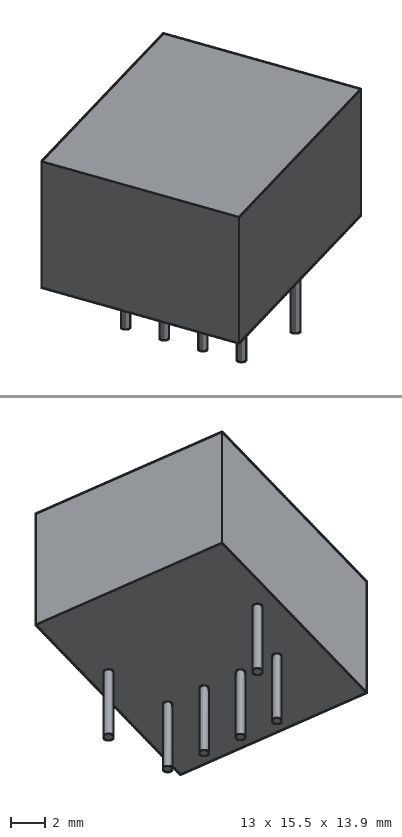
import cadquery as cq

HOUSING_WIDTH = 13.0
HOUSING_LENGTH = 15.5
OVERALL_HEIGHT = 13.9
PIN_LENGTH = 5.1
HOUSING_HEIGHT = OVERALL_HEIGHT - PIN_LENGTH

THIN_PIN_DIAMETER = 0.56
THIN_PIN_COUNT = 4
THIN_PIN_PITCH = 2.54
THIN_ROW_Y = -2.25

THICK_PIN_DIAMETER = 0.6
THICK_PIN_COUNT = 2
THICK_PIN_SPACING = 10.38
THICK_ROW_Y = 1.95


def make_housing():
    """Plain rectangular block with its underside at Z = 0."""
    return cq.Workplane("XY").box(
        HOUSING_WIDTH, HOUSING_LENGTH, HOUSING_HEIGHT, centered=(True, True, False)
    )


def make_pin(x, y, diameter):
    """Round pin hanging from the underside of the housing."""
    return cq.Workplane("XY").center(x, y).circle(diameter / 2).extrude(-PIN_LENGTH)


def make_pin_row(count, spacing, y, diameter):
    """Separate pins along X, evenly spaced and centred on X = 0."""
    first_x = -spacing * (count - 1) / 2
    return [make_pin(first_x + i * spacing, y, diameter) for i in range(count)]


housing = make_housing()
thin_pins = make_pin_row(THIN_PIN_COUNT, THIN_PIN_PITCH, THIN_ROW_Y, THIN_PIN_DIAMETER)
thick_pins = make_pin_row(THICK_PIN_COUNT, THICK_PIN_SPACING, THICK_ROW_Y, THICK_PIN_DIAMETER)

result = cq.Compound.makeCompound(
    [housing.val()] + [pin.val() for pin in thin_pins + thick_pins]
)